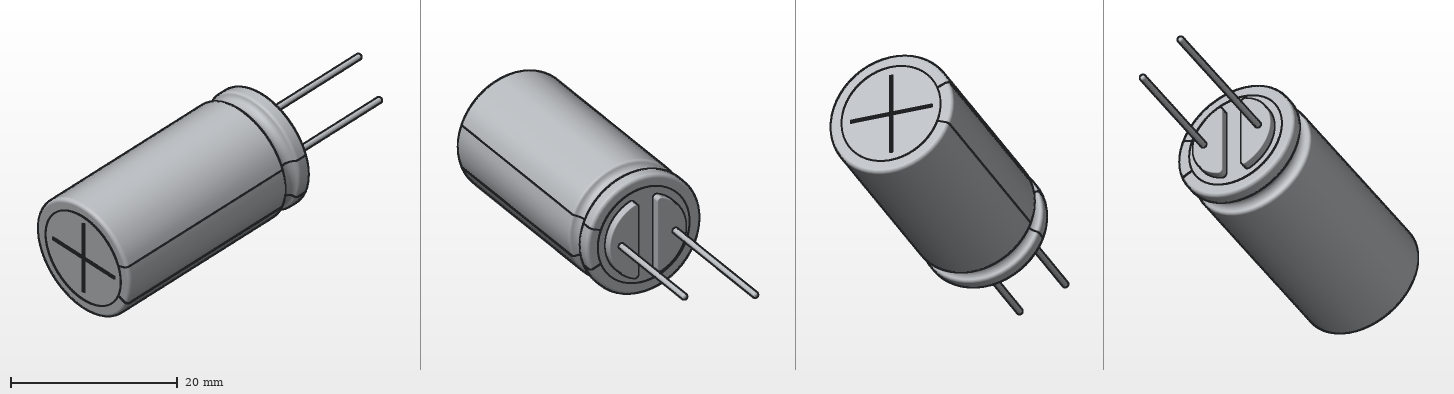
import cadquery as cq
import math

SLEEVE_DIAMETER = 16.0
CAN_DIAMETER = 15.8
SLEEVE_THICKNESS = (SLEEVE_DIAMETER - CAN_DIAMETER) / 2
SLEEVE_LENGTH = 30.5
EDGE_RADIUS = 0.5
END_OPENING_RADIUS = 6.4

GROOVE_CENTRE_Y = 27.5
GROOVE_DEPTH = 1.0
GROOVE_RADIUS = 1.05
GROOVE_LIP_RADIUS = 0.45

STRIPE_HALF_ANGLE = 21.0

VENT_LENGTH = 10.5
VENT_WIDTH = 0.35
VENT_FLOOR_WIDTH = 0.15
VENT_DEPTH = 0.1

FOOT_HEIGHT = 1.0
FOOT_RADIUS = 5.4
FOOT_INNER_X = 1.25
FOOT_CORNER_RADIUS = 0.5
FOOT_EDGE_RADIUS = 0.15

LEAD_DIAMETER = 0.8
LEAD_PITCH = 7.5
LONG_LEAD_END_Y = 50.5
LEAD_LENGTH_DIFFERENCE = 4.0
SHORT_LEAD_END_Y = LONG_LEAD_END_Y - LEAD_LENGTH_DIFFERENCE
LEAD_TIP_RADIUS = 0.3


def grooved_cylinder(inset):
    """Rounded, grooved cylinder whose whole surface lies `inset` inside the sleeve's outer surface."""
    radius = SLEEVE_DIAMETER / 2 - inset
    start = inset
    end = SLEEVE_LENGTH - inset
    edge = EDGE_RADIUS - inset
    lip = GROOVE_LIP_RADIUS - inset
    groove = GROOVE_RADIUS + inset

    slope = math.acos(1 - GROOVE_DEPTH / (lip + groove))
    half_width = (lip + groove) * math.sin(slope)
    join_radius = radius - lip * (1 - math.cos(slope))
    join_offset = groove * math.sin(slope)
    lip_mid_radius = radius - lip * (1 - math.cos(slope / 2))
    lip_mid_offset = half_width - lip * math.sin(slope / 2)
    edge_bulge = edge * (1 - math.sqrt(0.5))

    profile = (
        cq.Workplane("XY")
        .moveTo(0, start)
        .lineTo(radius - edge, start)
        .threePointArc((radius - edge_bulge, start + edge_bulge), (radius, start + edge))
        .lineTo(radius, GROOVE_CENTRE_Y - half_width)
        .threePointArc(
            (lip_mid_radius, GROOVE_CENTRE_Y - lip_mid_offset),
            (join_radius, GROOVE_CENTRE_Y - join_offset),
        )
        .threePointArc(
            (radius - GROOVE_DEPTH, GROOVE_CENTRE_Y),
            (join_radius, GROOVE_CENTRE_Y + join_offset),
        )
        .threePointArc(
            (lip_mid_radius, GROOVE_CENTRE_Y + lip_mid_offset),
            (radius, GROOVE_CENTRE_Y + half_width),
        )
        .lineTo(radius, end - edge)
        .threePointArc((radius - edge_bulge, end - edge_bulge), (radius - edge, end))
        .lineTo(0, end)
        .close()
    )
    return profile.revolve(360, (0, 0, 0), (0, 1, 0))


def along_y(start_y):
    """Workplane at the given Y, facing +Y, whose local x is the part's -X and local y its +Z."""
    return cq.Workplane(cq.Plane((0, start_y, 0), (-1, 0, 0), (0, 1, 0)))


def stripe_sector():
    """Wedge along the can axis that covers the polarity stripe."""
    reach = SLEEVE_DIAMETER
    half_width = reach * math.tan(math.radians(STRIPE_HALF_ANGLE))
    return (
        along_y(0)
        .polyline([(0, 0), (-reach, half_width), (-reach, -half_width)])
        .close()
        .extrude(SLEEVE_LENGTH)
    )


def sleeve_shell():
    """Thin sleeve wrapped over the can and folded over both of its ends."""
    opening = along_y(0).circle(END_OPENING_RADIUS).extrude(SLEEVE_LENGTH)
    return grooved_cylinder(0).cut(opening).cut(grooved_cylinder(SLEEVE_THICKNESS))


def vent_bar():
    """Score with sloped walls along X, sunk into the closed end of the can."""
    half_width = VENT_WIDTH / 2
    half_floor = VENT_FLOOR_WIDTH / 2
    mouth_y = SLEEVE_THICKNESS
    floor_y = mouth_y + VENT_DEPTH
    return (
        cq.Workplane("YZ")
        .polyline([
            (mouth_y, -half_width),
            (mouth_y, half_width),
            (floor_y, half_floor),
            (floor_y, -half_floor),
        ])
        .close()
        .extrude(VENT_LENGTH / 2, both=True)
    )


def vent_cross():
    """Two vent scores crossing at the centre of the closed end."""
    return vent_bar().union(vent_bar().rotate((0, 0, 0), (0, 1, 0), 90))


def foot(side):
    """Stand-off foot on one side (-1 or +1 in X): a circle segment with rounded inner corners."""
    seat = SLEEVE_LENGTH - SLEEVE_THICKNESS
    height = FOOT_HEIGHT + SLEEVE_THICKNESS
    segment_centre_x = side * (FOOT_INNER_X + FOOT_RADIUS / 2)
    segment_bounds = (
        along_y(seat)
        .center(-segment_centre_x, 0)
        .rect(FOOT_RADIUS, 2 * FOOT_RADIUS)
        .extrude(height)
    )
    return (
        along_y(seat)
        .circle(FOOT_RADIUS)
        .extrude(height)
        .intersect(segment_bounds)
        .edges("|Y")
        .fillet(FOOT_CORNER_RADIUS)
        .faces(">Y")
        .edges()
        .fillet(FOOT_EDGE_RADIUS)
    )


def lead(side, end_y):
    """Round lead on one side (-1 or +1 in X), from the can's end to end_y, with a rounded tip."""
    seat = SLEEVE_LENGTH - SLEEVE_THICKNESS
    return (
        along_y(seat)
        .center(-side * LEAD_PITCH / 2, 0)
        .circle(LEAD_DIAMETER / 2)
        .extrude(end_y - seat)
        .faces(">Y")
        .edges()
        .fillet(LEAD_TIP_RADIUS)
    )


capacitor = grooved_cylinder(SLEEVE_THICKNESS).cut(vent_cross())
for side, lead_end_y in ((-1, LONG_LEAD_END_Y), (1, SHORT_LEAD_END_Y)):
    capacitor = capacitor.union(foot(side)).union(lead(side, lead_end_y))

sleeve = sleeve_shell().cut(stripe_sector())
stripe = sleeve_shell().intersect(stripe_sector())

result = cq.Compound.makeCompound([capacitor.val(), sleeve.val(), stripe.val()])